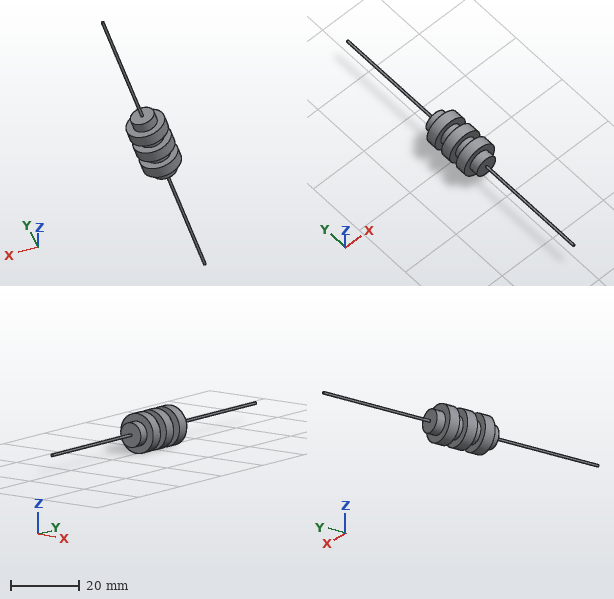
import cadquery as cq

overall_length = 98.42
lead_diameter = 0.81
core_diameter = 7.37
core_length = 22.23
winding_diameter = 11.94
winding_width = 3.53
winding_pitch = 6.35
winding_count = 3


def cylinder_along_y(diameter, length, center_y=0.0):
    """Solid cylinder on the Y axis, with its middle at center_y."""
    start_plane = cq.Plane(
        origin=(0, center_y - length / 2, 0),
        xDir=(-1, 0, 0),
        normal=(0, 1, 0),
    )
    return cq.Workplane(start_plane).circle(diameter / 2).extrude(length)


def add_windings(body):
    """Join evenly spaced discs, symmetric about the middle of the core."""
    first_center = -winding_pitch * (winding_count - 1) / 2
    for index in range(winding_count):
        center_y = first_center + index * winding_pitch
        body = body.union(cylinder_along_y(winding_diameter, winding_width, center_y))
    return body


core = cylinder_along_y(core_diameter, core_length)
leads = cylinder_along_y(lead_diameter, overall_length)

result = add_windings(core.union(leads))